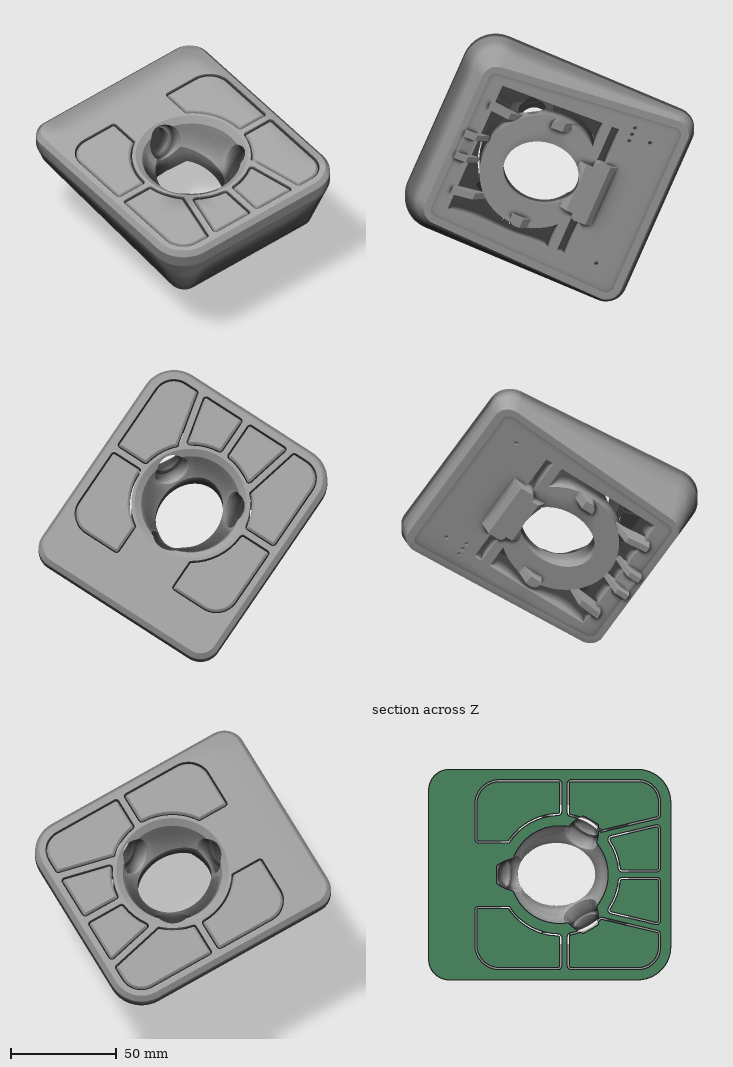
import cadquery as cq
import math

LENGTH = 115.0
WIDTH = 100.0
HEIGHT = 36.71
LEFT_CORNER_RADIUS = 10.0
RIGHT_CORNER_RADIUS = 16.0
TOP_CHAMFER = 2.2
BAND_BOTTOM_Z = -8.1
SIDE_DRAFT = 20.0
DRAFTED_HEIGHT = 26.0

SLOPE = math.tan(math.radians(10))
UNDERSIDE_MID_Z = -24.55
RIM_WIDTH = 3.5
RIM_RECESS = 0.8

BOWL_X = 4.55
MOUTH_RADIUS = 26.6
BOWL_EDGE_RADIUS = 23.5
BOWL_EDGE_Z = -2.3
SPHERE_RADIUS = 24.0
SPHERE_Z = BOWL_EDGE_Z + math.sqrt(SPHERE_RADIUS**2 - BOWL_EDGE_RADIUS**2)
OPENING_X = 3.3
OPENING_LENGTH = 36.7
OPENING_WIDTH = 29.8
BOSS_RADIUS = 28.0

BEARING_ANGLES = (60, 180, 300)
BEARING_TILT = 27.0
BEARING_DIAMETER = 17.35
BEARING_BACK_DIAMETER = 12.85
BEARING_SEAT_DISTANCE = 29.5
BEARING_BACK_DISTANCE = 35.0
BEARING_WALL = 1.6

PAD_LEFT_X = -35.4
PAD_RIGHT_X = 52.4
PAD_Y = 44.9
PAD_INNER_Y = 15.1
PAD_ARC_RADIUS = 28.15
PAD_LEFT_CORNER = 11.5
PAD_RIGHT_CORNER = 10.5
PAD_SMALL_CORNER = 1.8
WEB_X = 7.0
WEB_WIDTH = 2.75
SPOKE_ANGLE = 13.4
SPOKE_BASE_Y = 14.05
GROOVE_WIDTH = 0.8
GROOVE_DEPTH = 7.0
PAD_CHAMFER = 1.0

POCKET_CEILING_Z = -6.5
POCKET_LEFT_X = -23.0
POCKET_RIGHT_X = 37.5
POCKET_HALF_WIDTH = 33.0
RIB_LEFT_X = -19.0
RIB_THICKNESS = 4.5

CLIP_RUN = 3.2
CLIP_EMBED = 3.0
REAR_CLIP_LEFT_X = -29.2
REAR_CLIP_RIGHT_X = -18.2
REAR_CLIP_HALF_WIDTH = 15.2
REAR_CLIP_CORNER = 2.5
REAR_NOSE_RIGHT_X = -13.2
REAR_NOSE_HALF_WIDTH = 12.0
SIDE_CLIP_LEFT_X = -0.7
SIDE_CLIP_RIGHT_X = 8.2
SIDE_CLIP_INNER_Y = 23.2
SIDE_CLIP_OUTER_Y = 27.8
SIDE_CLIP_CORNER = 3.2
BLADE_LEFT_X = 25.6
BLADE_RIGHT_X = 39.6
BLADE_INNER_Y = 18.6
BLADE_THICKNESS = 3.2
BLADE_SPREAD = 2.3
FRONT_CLIP_LEFT_X = 36.0
FRONT_CLIP_RIGHT_X = 45.2
FRONT_CLIP_HALF_WIDTH = 7.1
FRONT_LEG_WIDTH = 2.8
FRONT_BRIDGE_LEFT_X = 41.0
FRONT_BRIDGE_DROP = 1.0

PIN_DEPTH = 3.0
PIN_DIAMETER = 2.0
PIN_X = -39.0
PIN_Y = 32.0
SMALL_PIN_DIAMETER = 1.9
SMALL_PIN_X = -29.5
SMALL_PIN_YS = (29.4, 32.8, 36.2)

CLIP_DROP = HEIGHT + UNDERSIDE_MID_Z - SLOPE * FRONT_CLIP_RIGHT_X
FAR = 100.0


def underside_z(x):
    """Height of the sloping underside at x."""
    return UNDERSIDE_MID_Z - SLOPE * x


def near_underside(x, offset):
    """XZ point at x, raised from the underside by offset."""
    return (x, underside_z(x) + offset)


def xz_prism(points, y_low, y_high):
    """Prism with an XZ outline, spanning y_low to y_high."""
    plane = cq.Workplane("XZ", origin=(0, y_high, 0))
    return plane.polyline(points).close().extrude(y_high - y_low)


def mirrored(shape):
    """A shape together with its mirror image across the XZ plane."""
    return shape.union(shape.mirror("XZ"))


def below_underside(offset):
    """Everything below the underside plane raised by offset."""
    left = near_underside(-FAR, offset)
    right = near_underside(FAR, offset)
    return xz_prism([left, right, (FAR, -FAR), (-FAR, -FAR)], -FAR, FAR)


def housing_outline(z, inset):
    """Rounded rectangle at height z, with concentric corners moved in by inset."""
    x_left = -LENGTH / 2 + inset
    x_right = LENGTH / 2 - inset
    y = WIDTH / 2 - inset
    r_left = LEFT_CORNER_RADIUS - inset
    r_right = RIGHT_CORNER_RADIUS - inset
    turn = 1 - math.sqrt(0.5)
    return (
        cq.Workplane("XY", origin=(0, 0, z))
        .moveTo(x_left + r_left, -y)
        .lineTo(x_right - r_right, -y)
        .threePointArc((x_right - turn * r_right, -y + turn * r_right), (x_right, -y + r_right))
        .lineTo(x_right, y - r_right)
        .threePointArc((x_right - turn * r_right, y - turn * r_right), (x_right - r_right, y))
        .lineTo(x_left + r_left, y)
        .threePointArc((x_left + turn * r_left, y - turn * r_left), (x_left, y - r_left))
        .lineTo(x_left, -y + r_left)
        .threePointArc((x_left + turn * r_left, -y + turn * r_left), (x_left + r_left, -y))
        .close()
    )


def drafted_block(inset):
    """Drafted lower block, reaching down past the underside."""
    return housing_outline(BAND_BOTTOM_Z, inset).extrude(-DRAFTED_HEIGHT, taper=SIDE_DRAFT)


def make_housing():
    """Straight band with a chamfered top over a drafted block cut at a slope."""
    band = housing_outline(BAND_BOTTOM_Z, 0).extrude(-BAND_BOTTOM_Z)
    band = band.faces(">Z").edges().chamfer(TOP_CHAMFER)
    block = drafted_block(0).cut(below_underside(0))
    recess = drafted_block(RIM_WIDTH).intersect(below_underside(RIM_RECESS))
    return band.union(block).cut(recess)


def make_pocket():
    """Rectangular pocket open at the underside, around the bowl boss and two ribs."""
    length = POCKET_RIGHT_X - POCKET_LEFT_X
    middle_x = (POCKET_RIGHT_X + POCKET_LEFT_X) / 2
    ceiling = cq.Workplane("XY", origin=(0, 0, POCKET_CEILING_Z))
    pocket = ceiling.center(middle_x, 0).rect(length, 2 * POCKET_HALF_WIDTH).extrude(-HEIGHT)
    boss = ceiling.center(BOWL_X, 0).circle(BOSS_RADIUS).extrude(-HEIGHT)
    rib_x = RIB_LEFT_X + RIB_THICKNESS / 2
    rib = ceiling.center(rib_x, 0).rect(RIB_THICKNESS, WIDTH).extrude(-HEIGHT)
    return pocket.cut(boss).cut(rib)


def make_bowl():
    """Conical mouth, spherical bowl and oval opening through the underside."""
    mouth = (
        cq.Workplane("XZ")
        .polyline([(0, 0), (MOUTH_RADIUS, 0), (BOWL_EDGE_RADIUS, BOWL_EDGE_Z), (0, BOWL_EDGE_Z)])
        .close()
        .revolve(360, (0, 0, 0), (0, 1, 0))
        .translate((BOWL_X, 0, 0))
    )
    sphere = cq.Workplane("XY").sphere(SPHERE_RADIUS).translate((BOWL_X, 0, SPHERE_Z))
    below_mouth = cq.Workplane("XY", origin=(0, 0, BOWL_EDGE_Z)).rect(LENGTH, WIDTH).extrude(-HEIGHT)
    opening = (
        cq.Workplane("XY", origin=(OPENING_X, 0, BOWL_EDGE_Z))
        .ellipse(OPENING_LENGTH / 2, OPENING_WIDTH / 2)
        .extrude(-HEIGHT)
    )
    return mouth.union(sphere.intersect(below_mouth)).union(opening)


def bearing_cylinder(angle, radius, end_distance):
    """Cylinder on a bearing axis, from inside the bowl out to end_distance from the ball centre."""
    turn = math.radians(angle)
    tilt = math.radians(BEARING_TILT)
    level = math.cos(tilt)
    axis = cq.Vector(level * math.cos(turn), level * math.sin(turn), -math.sin(tilt))
    start_distance = BOWL_EDGE_RADIUS * level
    start = cq.Vector(BOWL_X, 0, SPHERE_Z) + axis * start_distance
    return cq.Workplane("XY").add(
        cq.Solid.makeCylinder(radius, end_distance - start_distance, start, axis)
    )


def make_bearing_housing(angle):
    """Wall around a bearing, kept inside the pocket."""
    radius = BEARING_DIAMETER / 2 + BEARING_WALL
    wall = bearing_cylinder(angle, radius, BEARING_SEAT_DISTANCE + BEARING_WALL)
    ceiling = cq.Workplane("XY", origin=(0, 0, POCKET_CEILING_Z))
    below_ceiling = ceiling.rect(LENGTH, WIDTH).extrude(-HEIGHT)
    return wall.intersect(below_ceiling).cut(below_underside(RIM_RECESS))


def make_bearing_hole(angle):
    """Stepped hole running out from the ball centre, below the horizontal."""
    seat = bearing_cylinder(angle, BEARING_DIAMETER / 2, BEARING_SEAT_DISTANCE)
    back = bearing_cylinder(angle, BEARING_BACK_DIAMETER / 2, BEARING_BACK_DISTANCE)
    return seat.union(back)


def pad_blank(points):
    """Pad outline cut back by the arc around the bowl."""
    floor = cq.Workplane("XY", origin=(0, 0, -GROOVE_DEPTH))
    blank = floor.polyline(points).close().extrude(GROOVE_DEPTH)
    return blank.cut(floor.center(BOWL_X, 0).circle(PAD_ARC_RADIUS).extrude(GROOVE_DEPTH))


def pad_groove(blank):
    """Groove along the inside of a pad outline, around a chamfered pad."""
    outline = blank.faces("<Z").wires().vals()[0]
    pad_wire = outline.offset2D(-GROOVE_WIDTH)[0]
    straight_height = GROOVE_DEPTH - PAD_CHAMFER
    pad = cq.Workplane("XY").add(pad_wire).toPending().extrude(straight_height)
    raised_wire = pad_wire.translate(cq.Vector(0, 0, straight_height))
    bevel = cq.Workplane("XY").add(raised_wire).toPending().extrude(PAD_CHAMFER, taper=45)
    pad = pad.union(bevel)
    return blank.cut(pad)


def spoke_y(x, side):
    """Edge of the slanted spoke at x; side is +1 above it and -1 below it."""
    angle = math.radians(SPOKE_ANGLE)
    return SPOKE_BASE_Y + (x - BOWL_X) * math.tan(angle) + side * WEB_WIDTH / 2 / math.cos(angle)


def left_pad():
    """Left pad on the +Y side, with one large corner."""
    right = WEB_X - WEB_WIDTH / 2
    blank = pad_blank(
        [(PAD_LEFT_X, PAD_INNER_Y), (right, PAD_INNER_Y), (right, PAD_Y), (PAD_LEFT_X, PAD_Y)]
    )
    blank = blank.edges("|Z and <X and >Y").fillet(PAD_LEFT_CORNER)
    blank = blank.edges("|Z and >X").fillet(PAD_SMALL_CORNER)
    return blank.edges("|Z").edges("<XY").fillet(PAD_SMALL_CORNER)


def corner_pad():
    """Pad in the corner between the cross web and the slanted spoke."""
    left = WEB_X + WEB_WIDTH / 2
    blank = pad_blank(
        [
            (left, spoke_y(left, 1)),
            (PAD_RIGHT_X, spoke_y(PAD_RIGHT_X, 1)),
            (PAD_RIGHT_X, PAD_Y),
            (left, PAD_Y),
        ]
    )
    blank = blank.edges("|Z").edges(">X").edges(">Y").fillet(PAD_RIGHT_CORNER)
    blank = blank.edges("|Z").edges(">X").edges("<Y").fillet(PAD_SMALL_CORNER)
    return blank.edges("|Z").edges("<X").fillet(PAD_SMALL_CORNER)


def middle_pad():
    """Small pad between the slanted spoke and the centre web."""
    bottom = WEB_WIDTH / 2
    blank = pad_blank(
        [
            (BOWL_X, bottom),
            (PAD_RIGHT_X, bottom),
            (PAD_RIGHT_X, spoke_y(PAD_RIGHT_X, -1)),
            (BOWL_X, spoke_y(BOWL_X, -1)),
        ]
    )
    return blank.edges("|Z").fillet(PAD_SMALL_CORNER)


def clip_body(x_left, x_right, y_low, y_high, drop):
    """Clip with a ramped left end, its lower face parallel to the underside."""
    points = [
        near_underside(x_left - CLIP_RUN, drop),
        near_underside(x_left + CLIP_RUN, -drop),
        near_underside(x_right, -drop),
        near_underside(x_right, CLIP_EMBED),
        near_underside(x_left, CLIP_EMBED),
    ]
    return xz_prism(points, y_low, y_high)


def rear_clip():
    """Wide clip with rounded corners and a narrower nose ramped at its right end."""
    w = REAR_CLIP_HALF_WIDTH
    clip = clip_body(REAR_CLIP_LEFT_X, REAR_CLIP_RIGHT_X, -w, w, CLIP_DROP)
    clip = clip.edges("|Z and >X").fillet(REAR_CLIP_CORNER)
    nose_left = REAR_CLIP_LEFT_X + CLIP_RUN
    nose_bottom = REAR_NOSE_RIGHT_X - CLIP_RUN / 2
    nose_top = REAR_NOSE_RIGHT_X + CLIP_RUN / 2
    nose = [
        near_underside(nose_left, -CLIP_DROP),
        near_underside(nose_bottom, -CLIP_DROP),
        near_underside(nose_top, 0),
        near_underside(nose_top, CLIP_EMBED),
        near_underside(nose_left, CLIP_EMBED),
    ]
    return clip.union(xz_prism(nose, -REAR_NOSE_HALF_WIDTH, REAR_NOSE_HALF_WIDTH))


def side_clips():
    """Two clips beside the bowl, each with a rounded outer corner."""
    clip = clip_body(
        SIDE_CLIP_LEFT_X, SIDE_CLIP_RIGHT_X, SIDE_CLIP_INNER_Y, SIDE_CLIP_OUTER_Y, CLIP_DROP
    )
    return mirrored(clip.edges("|Z and >X and >Y").fillet(SIDE_CLIP_CORNER))


def blade_clips():
    """Two upright blades that spread apart toward +X."""
    reach = BLADE_LEFT_X - 2 * CLIP_RUN
    outline = [
        (reach, BLADE_INNER_Y),
        (BLADE_RIGHT_X, BLADE_INNER_Y + BLADE_SPREAD),
        (BLADE_RIGHT_X, BLADE_INNER_Y + BLADE_SPREAD + BLADE_THICKNESS),
        (reach, BLADE_INNER_Y + BLADE_THICKNESS),
    ]
    footprint = cq.Workplane("XY").polyline(outline).close().extrude(-FAR)
    profile = clip_body(BLADE_LEFT_X, BLADE_RIGHT_X, 0, WIDTH / 2, CLIP_DROP)
    return mirrored(profile.intersect(footprint))


def front_clip():
    """Two legs joined by a shallow bridge."""
    w = FRONT_CLIP_HALF_WIDTH
    leg = clip_body(FRONT_CLIP_LEFT_X, FRONT_CLIP_RIGHT_X, w - FRONT_LEG_WIDTH, w, CLIP_DROP)
    bridge = clip_body(FRONT_BRIDGE_LEFT_X, FRONT_CLIP_RIGHT_X, -w, w, FRONT_BRIDGE_DROP)
    return mirrored(leg).union(bridge)


def pin_hole(x, y, diameter):
    """Blind hole rising from the underside plate."""
    height = PIN_DEPTH + RIM_RECESS
    return cq.Workplane("XY", origin=(x, y, underside_z(x))).circle(diameter / 2).extrude(height)


result = make_housing().cut(make_pocket())
for bearing_angle in BEARING_ANGLES:
    result = result.union(make_bearing_housing(bearing_angle))

for clip_set in (rear_clip(), side_clips(), blade_clips(), front_clip()):
    result = result.union(clip_set)

result = result.cut(make_bowl())
for bearing_angle in BEARING_ANGLES:
    result = result.cut(make_bearing_hole(bearing_angle))

for pad_shape in (left_pad(), corner_pad(), middle_pad()):
    result = result.cut(mirrored(pad_groove(pad_shape)))

result = result.cut(mirrored(pin_hole(PIN_X, PIN_Y, PIN_DIAMETER)))
for pin_y in SMALL_PIN_YS:
    result = result.cut(pin_hole(SMALL_PIN_X, pin_y, SMALL_PIN_DIAMETER))